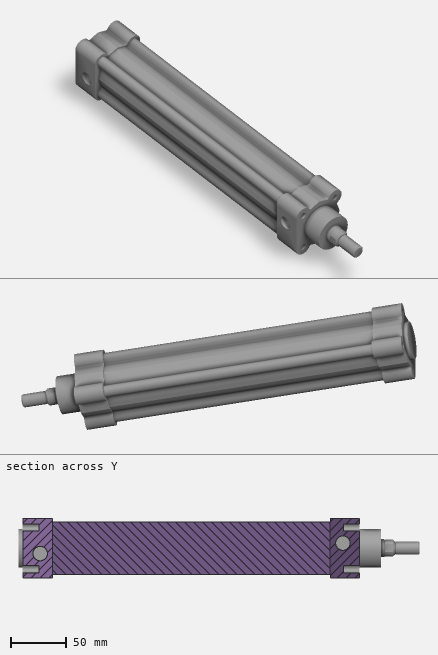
import cadquery as cq
import math

total_length = 363.0
cap_size = 54.0
half_cap = cap_size / 2
lobe_offset = 19.0

rear_cap_start = 3.5
rear_cap_end = 31.0
front_cap_start = 281.7
front_cap_end = 308.5
front_collar_end = 328.0

cap_core_radius = 23.5
cap_roof_slope = 17.0
cap_lobe_radius = half_cap - lobe_offset
barrel_core_radius = 22.0
barrel_roof_slope = 12.5
barrel_lobe_radius = 5.0
lobe_fillet = 2.0

collar_diameter = 35.0
bolt_hole_diameter = 6.0
bolt_hole_depth = 14.5
port_diameter = 12.7
port_depth = 11.0
port_height = 4.7
rear_port_x = 19.5
front_port_x = 293.3

seal_diameter = 16.5
seal_end = 331.8
seal_chamfer = 1.0
shoulder_diameter = 15.5
shoulder_end = 340.5
shoulder_chamfer = 1.8
flat_distance = 13.8
thread_diameter = 12.0
thread_chamfer = 1.0


def section(start):
    """Workplane across the axis, with local x along Y and local y along Z."""
    return cq.Workplane("YZ", origin=(start, 0, 0))


def cylinder(diameter, start, end):
    return section(start).circle(diameter / 2).extrude(end - start)


def at_each_corner(body):
    """Four copies of a body that lies towards +Y, turned to the four diagonals."""
    return [body.rotate((0, 0, 0), (1, 0, 0), 45 + 90 * corner) for corner in range(4)]


def lobed_core(core_radius, lobe, start, end):
    """Round core with a lobe at each corner, filleted where they meet."""
    body = cylinder(2 * core_radius, start, end).rotate((0, 0, 0), (1, 0, 0), 45)
    for corner_lobe in at_each_corner(lobe):
        body = body.union(corner_lobe)

    def on_core(edge):
        return math.hypot(edge.Center().y, edge.Center().z) < core_radius + lobe_fillet / 2

    return body.edges("|X").filter(on_core).fillet(lobe_fillet)


def add_roofs(body, core_radius, slope, start, end):
    """Add a shallow ridge on each side, its two planes tangent to the round core."""
    angle = math.radians(slope)
    tangent_across = core_radius * math.sin(angle)
    tangent_out = core_radius * math.cos(angle)
    roof = (
        section(start)
        .polyline([
            (0, 0),
            (tangent_across, tangent_out),
            (0, core_radius / math.cos(angle)),
            (-tangent_across, tangent_out),
        ])
        .close()
        .extrude(end - start)
    )
    for side in range(4):
        body = body.union(roof.rotate((0, 0, 0), (1, 0, 0), 90 * side))
    return body


def cap_block(start, end):
    """End cap block: three profiled sides, and a flat port face on -Y."""
    lobe_distance = lobe_offset * math.sqrt(2)
    lobe = section(start).center(lobe_distance, 0).circle(cap_lobe_radius).extrude(end - start)
    block = lobed_core(cap_core_radius, lobe, start, end)
    block = add_roofs(block, cap_core_radius, cap_roof_slope, start, end)
    port_face = section(start).center(-half_cap / 2, 0).rect(half_cap, 2 * lobe_offset).extrude(end - start)
    return block.union(port_face)


def cut_port(cap, x, z):
    """Blind round port in the flat -Y face."""
    port = cq.Workplane("XZ", origin=(x, -half_cap, z)).circle(port_diameter / 2).extrude(-port_depth)
    return cap.cut(port)


def cut_bolt_holes(cap, face_x, direction):
    """Blind hole in each lobe, drilled from the outer end face along the given X direction."""
    holes = (
        section(face_x)
        .rect(2 * lobe_offset, 2 * lobe_offset, forConstruction=True)
        .vertices()
        .circle(bolt_hole_diameter / 2)
        .extrude(direction * bolt_hole_depth)
    )
    return cap.cut(holes)


def make_rear_cap():
    cap = cap_block(rear_cap_start, rear_cap_end)
    cap = cap.union(cylinder(collar_diameter, 0, rear_cap_start))
    cap = cut_port(cap, rear_port_x, -port_height)
    return cut_bolt_holes(cap, rear_cap_start, 1)


def make_front_cap():
    cap = cap_block(front_cap_start, front_cap_end)
    cap = cap.union(cylinder(collar_diameter, front_cap_end, front_collar_end))
    cap = cut_port(cap, front_port_x, port_height)
    return cut_bolt_holes(cap, front_cap_end, -1)


def make_barrel():
    """Barrel between the caps: each lobe stands on a straight neck of its own width."""
    length = front_cap_start - rear_cap_end
    lobe_distance = lobe_offset * math.sqrt(2)
    lobe = (
        section(rear_cap_end)
        .center(lobe_distance / 2, 0)
        .slot2D(lobe_distance + 2 * barrel_lobe_radius, 2 * barrel_lobe_radius)
        .extrude(length)
    )
    body = lobed_core(barrel_core_radius, lobe, rear_cap_end, front_cap_start)
    return add_roofs(body, barrel_core_radius, barrel_roof_slope, rear_cap_end, front_cap_start)


def make_rod():
    """Exposed rod end: seal ring, shoulder with two wrench flats on -Y and +Y, threaded end."""
    seal = cylinder(seal_diameter, front_collar_end, seal_end).faces(">X").chamfer(seal_chamfer)
    shoulder = cylinder(shoulder_diameter, seal_end, shoulder_end).faces(">X").chamfer(shoulder_chamfer)
    between_flats = (
        section(seal_end).rect(flat_distance, 2 * shoulder_diameter).extrude(shoulder_end - seal_end)
    )
    thread = cylinder(thread_diameter, shoulder_end, total_length).faces("<X or >X").chamfer(thread_chamfer)
    return seal.union(shoulder.intersect(between_flats)).union(thread)


rear_cap = make_rear_cap()
barrel = make_barrel()
front_cap = make_front_cap()
rod = make_rod()

result = cq.Compound.makeCompound([rear_cap.val(), barrel.val(), front_cap.val(), rod.val()])